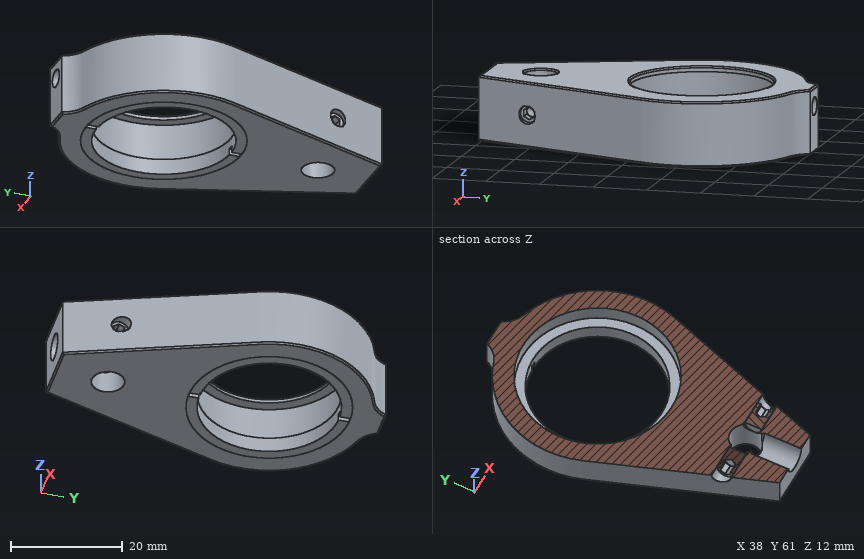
import cadquery as cq
import math

thickness = 12.0
mid_height = thickness / 2
eye_radius = 19.0
clamp_end_y = -40.0
clamp_end_half_width = 6.0
edge_chamfer = 0.3

lug_top_y = 21.0
lug_half_width = 2.8
lug_blend_radius = 5.0
lug_hole_radius = 1.65
lug_hole_height = 8.5

lip_radius = 13.0
lip_height = 1.0
seat_radius = 15.0

ring_bore_radius = lip_radius
ring_height = 3.0
spanner_slot_width = 1.0
spanner_slot_depth = 1.2

post_hole_radius = 3.0
post_hole_y = -30.0
end_hole_radius = 2.5
end_hole_depth = 7.5
drill_half_angle = 59.0

screw_radius = 1.65
screw_length = 5.0
hex_across_flats = 2.0
hex_depth = 2.0


def housing_outline():
    corner_distance = math.hypot(clamp_end_half_width, clamp_end_y)
    corner_angle = math.atan2(clamp_end_y, clamp_end_half_width)
    tangent_angle = corner_angle + math.acos(eye_radius / corner_distance)
    tangent_x = eye_radius * math.cos(tangent_angle)
    tangent_y = eye_radius * math.sin(tangent_angle)

    lug_distance = math.hypot(lug_half_width, lug_top_y)
    lug_angle = math.atan2(lug_top_y, lug_half_width)
    blend_distance = eye_radius + lug_blend_radius
    cosine_numerator = lug_distance**2 + blend_distance**2 - lug_blend_radius**2
    cos_between = cosine_numerator / (2 * lug_distance * blend_distance)
    blend_angle = lug_angle - math.acos(cos_between)
    blend_x = blend_distance * math.cos(blend_angle)
    blend_y = blend_distance * math.sin(blend_angle)
    foot_x = eye_radius * math.cos(blend_angle)
    foot_y = eye_radius * math.sin(blend_angle)

    start_angle = math.atan2(lug_top_y - blend_y, lug_half_width - blend_x)
    end_angle = blend_angle - math.pi
    middle_angle = (start_angle + end_angle) / 2
    middle_x = blend_x + lug_blend_radius * math.cos(middle_angle)
    middle_y = blend_y + lug_blend_radius * math.sin(middle_angle)

    return (
        cq.Workplane("XY")
        .moveTo(-clamp_end_half_width, clamp_end_y)
        .lineTo(clamp_end_half_width, clamp_end_y)
        .lineTo(tangent_x, tangent_y)
        .threePointArc((eye_radius, 0), (foot_x, foot_y))
        .threePointArc((middle_x, middle_y), (lug_half_width, lug_top_y))
        .lineTo(-lug_half_width, lug_top_y)
        .threePointArc((-middle_x, middle_y), (-foot_x, foot_y))
        .threePointArc((-eye_radius, 0), (-tangent_x, tangent_y))
        .close()
    )


def drill(radius, depth):
    """A drilled hole along +Z from Z = 0: a cylinder of the given depth, then a drill-point cone."""
    point_height = radius / math.tan(math.radians(drill_half_angle))
    profile = (
        cq.Workplane("XZ")
        .lineTo(radius, 0)
        .lineTo(radius, depth)
        .lineTo(0, depth + point_height)
        .close()
    )
    return profile.revolve(360, (0, 0, 0), (0, 1, 0))


def vertical_hole(radius, y, depth):
    """A round hole up from the bottom face."""
    return cq.Workplane("XY").center(0, y).circle(radius).extrude(depth)


def rim_chamfer(radius, y):
    """A cone that breaks the rim of a vertical hole at the top face."""
    cone = cq.Solid.makeCone(radius, radius + edge_chamfer, edge_chamfer)
    return cq.Workplane(cone).translate((0, y, thickness - edge_chamfer))


def make_housing():
    body = housing_outline().extrude(thickness)
    body = body.faces("<Z or >Z").chamfer(edge_chamfer)

    body = body.cut(vertical_hole(lip_radius, 0, thickness))
    body = body.cut(vertical_hole(seat_radius, 0, thickness - lip_height))
    body = body.cut(rim_chamfer(lip_radius, 0))

    body = body.cut(vertical_hole(post_hole_radius, post_hole_y, thickness))
    body = body.cut(rim_chamfer(post_hole_radius, post_hole_y))

    end_hole = drill(end_hole_radius, end_hole_depth).rotate((0, 0, 0), (1, 0, 0), -90)
    body = body.cut(end_hole.translate((0, clamp_end_y, mid_height)))

    cross_hole = (
        cq.Workplane("YZ")
        .center(post_hole_y, mid_height)
        .circle(screw_radius)
        .extrude(eye_radius, both=True)
    )
    body = body.cut(cross_hole)

    lug_hole = cq.Workplane("XZ").center(0, lug_hole_height).circle(lug_hole_radius).extrude(-lug_top_y)
    return body.cut(lug_hole)


def make_ring():
    ring = cq.Workplane("XY").circle(seat_radius).circle(ring_bore_radius).extrude(ring_height)
    slots = cq.Workplane("XY").rect(spanner_slot_width, 2 * seat_radius).extrude(spanner_slot_depth)
    return ring.cut(slots)


def make_set_screw(side):
    """A headless screw on the side +1 or -1 of the post hole, its hexagon socket facing outward."""
    hex_across_corners = 2 * hex_across_flats / math.sqrt(3)
    screw = cq.Workplane("XY").circle(screw_radius).extrude(screw_length)
    socket = cq.Workplane("XY").polygon(6, hex_across_corners).extrude(hex_depth)
    screw = screw.cut(socket).cut(drill(hex_across_flats / 2, hex_depth))
    outer_end_x = side * (post_hole_radius + screw_length)
    return screw.rotate((0, 0, 0), (0, 1, 0), -90 * side).translate((outer_end_x, post_hole_y, mid_height))


housing = make_housing()
ring = make_ring()
set_screws = [make_set_screw(side) for side in (-1, 1)]

result = cq.Compound.makeCompound(
    [housing.val(), ring.val(), *[screw.val() for screw in set_screws]]
)